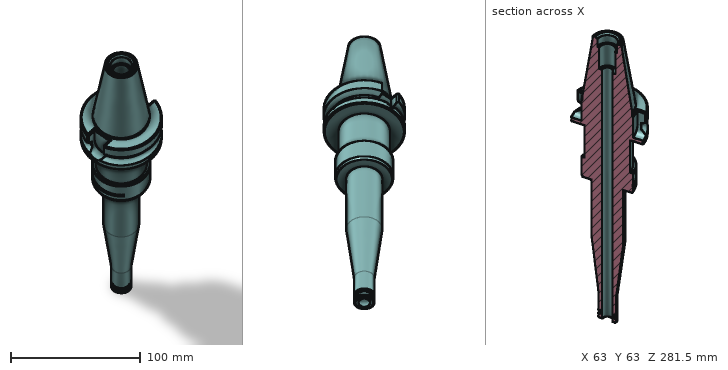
import cadquery as cq
import math

total_length = 281.5
gauge_z = 216.0
flange_top_z = 214.1
flange_height = 26.0
nut_top_z = 156.2
nut_height = 20.3
taper_top_z = 80.5
taper_bottom_z = 26.7
groove_top_z = 7.5
groove_bottom_z = 4.2

shank_end_d = 25.3
gauge_d = 44.5
relief_d = 43.3
flange_d = 63.0
v_groove_d = 53.5
body_d = 40.0
nut_d = 45.3
extension_d = 28.0
nose_d = 16.0
nose_groove_d = 13.0

v_top_z = 204.5
v_bottom_z = 194.2
v_angle = 30.0

shank_chamfer = 0.8
flange_chamfer = 0.8
nut_top_chamfer = 0.5
nut_bottom_chamfer_height = 2.5
nut_bottom_chamfer_width = 1.0
tip_chamfer = 1.0

slot_width = 15.2
slot_floor_y = 22.5
slot_end_z = 192.5
slot_chamfer = 1.0

pilot_d = 17.0
pilot_depth = 9.3
pilot_mouth_d = 20.3
thread_bore_d = 13.8
thread_bore_depth = 31.0
coolant_d = 9.0

recess_height = 1.7
recess_center_z = 144.0
recess_depth = 0.3
recess_half_angle = 47.0


def revolve_about_axis(profile):
    """Turn a closed (radius, height) profile about the Z axis."""
    return cq.Workplane("XZ").polyline(profile).close().revolve(360, (0, 0), (0, 1))


def turned_body():
    """Outer shape from the shank end down to the nose tip."""
    flange_r = flange_d / 2
    flange_bottom_z = flange_top_z - flange_height
    v_drop = (flange_d - v_groove_d) / 2 * math.tan(math.radians(v_angle))
    nut_r = nut_d / 2
    nut_bottom_z = nut_top_z - nut_height
    nose_r = nose_d / 2

    profile = [
        (0, total_length),
        (shank_end_d / 2 - shank_chamfer, total_length),
        (shank_end_d / 2, total_length - shank_chamfer),
        (gauge_d / 2, gauge_z),
        (relief_d / 2, gauge_z),
        (relief_d / 2, flange_top_z),
        (flange_r - flange_chamfer, flange_top_z),
        (flange_r, flange_top_z - flange_chamfer),
        (flange_r, v_top_z),
        (v_groove_d / 2, v_top_z - v_drop),
        (v_groove_d / 2, v_bottom_z + v_drop),
        (flange_r, v_bottom_z),
        (flange_r, flange_bottom_z + flange_chamfer),
        (flange_r - flange_chamfer, flange_bottom_z),
        (body_d / 2, flange_bottom_z),
        (body_d / 2, nut_top_z),
        (nut_r - nut_top_chamfer, nut_top_z),
        (nut_r, nut_top_z - nut_top_chamfer),
        (nut_r, nut_bottom_z + nut_bottom_chamfer_height),
        (nut_r - nut_bottom_chamfer_width, nut_bottom_z),
        (extension_d / 2, nut_bottom_z),
        (extension_d / 2, taper_top_z),
        (nose_r, taper_bottom_z),
        (nose_r, groove_top_z),
        (nose_groove_d / 2, groove_top_z),
        (nose_groove_d / 2, groove_bottom_z),
        (nose_r, groove_bottom_z),
        (nose_r, tip_chamfer),
        (nose_r - tip_chamfer, 0),
        (0, 0),
    ]
    return revolve_about_axis(profile)


def bores():
    """Stepped bore from the shank end, opening into a hole through to the tip."""
    pilot_floor_z = total_length - pilot_depth
    thread_floor_z = total_length - thread_bore_depth
    mouth_depth = (pilot_mouth_d - pilot_d) / 2
    profile = [
        (0, total_length),
        (pilot_mouth_d / 2, total_length),
        (pilot_d / 2, total_length - mouth_depth),
        (pilot_d / 2, pilot_floor_z),
        (thread_bore_d / 2, pilot_floor_z),
        (thread_bore_d / 2, thread_floor_z),
        (coolant_d / 2, thread_floor_z),
        (coolant_d / 2, 0),
        (0, 0),
    ]
    return revolve_about_axis(profile)


def drive_slot(side):
    """Round-ended key slot open at the flange top, on the +Y (1) or -Y (-1) side."""
    half_width = slot_width / 2
    arc_z = slot_end_z + half_width
    return (
        cq.Workplane("XZ", origin=(0, side * slot_floor_y, 0))
        .moveTo(-half_width, flange_top_z)
        .lineTo(-half_width, arc_z)
        .threePointArc((0, slot_end_z), (half_width, arc_z))
        .lineTo(half_width, flange_top_z)
        .close()
        .extrude(-side * flange_d / 2)
    )


def slot_top_chamfer(side):
    """Bevel around the slot opening in the flange top."""
    inner_y = slot_floor_y - slot_chamfer
    length = flange_d - inner_y
    return (
        cq.Workplane("XY", origin=(0, 0, flange_top_z))
        .center(0, side * (inner_y + length / 2))
        .rect(slot_width + 2 * slot_chamfer, length)
        .extrude(-slot_chamfer, taper=45)
    )


def slot_rim_chamfer(side):
    """Bevels along the two vertical slot edges at the rim of the upper flange."""
    half_width = slot_width / 2
    rim_y = math.sqrt((flange_d / 2) ** 2 - (half_width + slot_chamfer) ** 2)
    inner_y = side * (rim_y - slot_chamfer)
    outer_y = side * flange_d / 2
    outer_x = half_width + flange_d / 2 - rim_y + slot_chamfer
    bottom_z = (v_top_z + v_bottom_z) / 2
    return (
        cq.Workplane("XY", origin=(0, 0, bottom_z))
        .polyline([(-half_width, inner_y), (half_width, inner_y), (outer_x, outer_y), (-outer_x, outer_y)])
        .close()
        .extrude(flange_top_z - bottom_z)
    )


def marking_recess():
    """Shallow band cut into the nut, centred on the -Y side."""
    inner_r = nut_d / 2 - recess_depth
    start_x = nut_d * math.sin(math.radians(recess_half_angle))
    start_y = -nut_d * math.cos(math.radians(recess_half_angle))
    band = cq.Workplane("XY").circle(nut_d).circle(inner_r).extrude(recess_height)
    sector_points = [(0, 0), (start_x, start_y), (start_x, -nut_d), (-start_x, -nut_d), (-start_x, start_y)]
    sector = cq.Workplane("XY").polyline(sector_points).close().extrude(recess_height)
    return band.intersect(sector).translate((0, 0, recess_center_z - recess_height / 2))


result = turned_body().cut(bores()).cut(marking_recess())
for side in (1, -1):
    result = result.cut(drive_slot(side))
    result = result.cut(slot_top_chamfer(side))
    result = result.cut(slot_rim_chamfer(side))